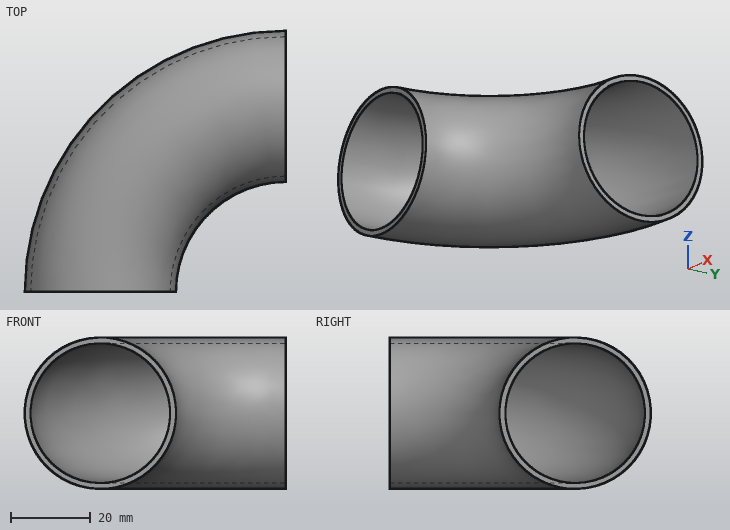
import cadquery as cq

outer_diameter = 38.0
wall_thickness = 1.5
bend_radius = 46.5
bend_angle = 90.0

outer_radius = outer_diameter / 2
inner_radius = outer_radius - wall_thickness


def tube_elbow():
    """Sweep the ring section about a bend axis parallel to Z through the origin.

    One end faces -Y at x = -bend_radius, the other faces +X at y = bend_radius.
    """
    ring = cq.Workplane("XZ").center(-bend_radius, 0).circle(outer_radius).circle(inner_radius)
    axis_start = (bend_radius, 0)
    axis_end = (bend_radius, -1)
    return ring.revolve(bend_angle, axis_start, axis_end)


result = tube_elbow()